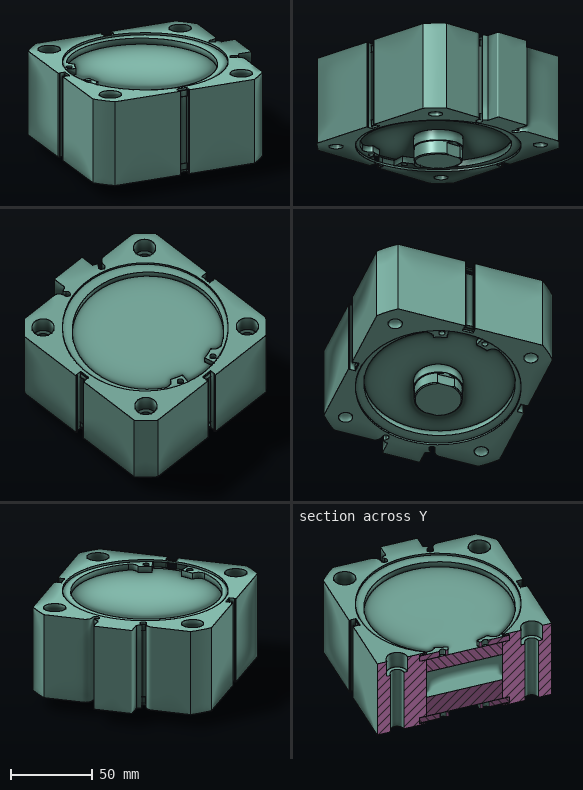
import cadquery as cq
import math


body_width = 115.0
body_height = 54.9
corner_radius = 74.4
bore_radius = 50.8
bolt_spacing = 88.7
bolt_hole_diameter = 8.7
counterbore_diameter = 13.6
counterbore_depth = 11.2

slot_depth = 4.6
slot_width = 6.7
slot_mouth_width = 6.2
slot_neck_width = 5.2
slot_lip = 0.9
slot_lip_chamfer = 0.5

total_length = 124.0
rail_width = 24.5
rail_edge_fillet = 0.5
rail_tip_half_width = 15.4
rail_tip_drop = 1.6
undercut_radius = 2.0
undercut_x = 15.1
undercut_drop = 5.0
undercut_exit_angle = 60.0

groove_radius = 53.2
groove_land = 1.4
groove_height = 4.2
ring_thickness = 4.0
ring_inner_radius = 46.5
ring_eccentricity = 2.4
ring_lug_radius = 43.3
ring_gap_half_angle = 12.8
ring_relief_radius = 5.0
ring_relief_angle = 32.0
ring_hole_radius = 1.9
ring_hole_reach = 47.0
ring_hole_angle = 17.4
top_ring_turn = -0.7

head_cover_thickness = 9.9
rod_cover_thickness = 14.9
rod_projection = 10.0
rod_radius = 15.1
rod_collar_length = 1.5
rod_collar_chamfer = 0.4
rod_neck_radius = 14.8
rod_end_chamfer = 0.6
flat_offset = 13.6
flat_start = 2.5

half_width = body_width / 2
groove_inner_end = groove_land + groove_height
head_cover_top = body_height - groove_inner_end
head_cover_bottom = head_cover_top - head_cover_thickness


def disc(radius, bottom, height):
    return cq.Workplane("XY").workplane(offset=bottom).circle(radius).extrude(height)


def toward_gap(distance, angle):
    """Point at a distance from the axis, turned by an angle in degrees from -Y toward +X."""
    turn = math.radians(angle)
    return distance * math.sin(turn), -distance * math.cos(turn)




def make_slot():
    """Undercut slot, running along Z, in the -Y face."""
    mouth = slot_mouth_width / 2
    neck = slot_neck_width / 2
    inside = slot_width / 2
    half_profile = [
        (mouth, -half_width),
        (neck, -half_width + slot_lip_chamfer),
        (neck, -half_width + slot_lip),
        (inside, -half_width + slot_lip),
        (inside, -half_width + slot_depth),
    ]
    other_half = [(-x, y) for x, y in reversed(half_profile)]
    return cq.Workplane("XY").polyline(half_profile + other_half).close().extrude(body_height)


def make_rail():
    """Bar that stands out of the +Y face, rooted in the housing by the depth of the undercuts."""
    outer_y = total_length - half_width
    root_y = half_width - undercut_drop
    outline = cq.Workplane("XY").center(0, (outer_y + root_y) / 2).rect(rail_width, outer_y - root_y)
    return outline.extrude(body_height).edges("|Z and >Y").fillet(rail_edge_fillet)


def make_rail_undercut(side):
    """Opening beside the rail foot, on the +X side for side = 1 and on the -X side for side = -1."""
    center_y = half_width - undercut_drop
    exit_turn = math.radians(undercut_exit_angle)
    exit_x = undercut_x - undercut_radius * math.cos(exit_turn)
    exit_y = center_y + undercut_radius * math.sin(exit_turn)
    outer_x = undercut_x + undercut_radius
    round_x = outer_x + undercut_drop
    round_middle = undercut_drop * math.sqrt(0.5)
    outline = (
        cq.Workplane("XY")
        .moveTo(side * rail_width / 2, half_width)
        .lineTo(side * rail_tip_half_width, half_width - rail_tip_drop)
        .lineTo(side * exit_x, exit_y)
        .threePointArc((side * undercut_x, center_y - undercut_radius), (side * outer_x, center_y))
        .threePointArc(
            (side * (round_x - round_middle), center_y + round_middle),
            (side * round_x, half_width),
        )
        .close()
    )
    return outline.extrude(body_height)


def make_housing():
    housing = cq.Workplane("XY").rect(body_width, body_width).extrude(body_height)
    housing = housing.intersect(disc(corner_radius, 0, body_height))
    housing = housing.union(make_rail())
    for side in (-1, 1):
        housing = housing.cut(make_rail_undercut(side))
    for angle in (-90, 0, 90):
        housing = housing.cut(make_slot().rotate((0, 0, 0), (0, 0, 1), angle))
    housing = housing.cut(disc(bore_radius, 0, body_height))
    for groove_bottom in (groove_land, head_cover_top):
        housing = housing.cut(disc(groove_radius, groove_bottom, groove_height))
    return (
        housing.faces(">Z")
        .workplane(origin=(0, 0, body_height))
        .rect(bolt_spacing, bolt_spacing, forConstruction=True)
        .vertices()
        .cboreHole(bolt_hole_diameter, counterbore_diameter, counterbore_depth)
    )




def make_gap_wedge(half_angle):
    """Triangle from the axis past the ring, centred on -Y."""
    reach = 2 * groove_radius
    corners = [(0, 0), toward_gap(reach, -half_angle), toward_gap(reach, half_angle)]
    return cq.Workplane("XY").polyline(corners).close().extrude(ring_thickness)


def make_retaining_ring(bottom, turn):
    """Eccentric snap ring with two drilled lugs beside its gap on the -Y side."""
    blank = disc(groove_radius, 0, ring_thickness)
    ring = blank.cut(disc(ring_inner_radius, 0, ring_thickness).translate((0, -ring_eccentricity, 0)))

    relief_x, relief_y = toward_gap(ring_inner_radius - ring_relief_radius, ring_relief_angle)
    relief_y -= ring_eccentricity
    lug_half_angle = math.degrees(math.atan2(relief_x, -relief_y))
    lugs = blank.cut(disc(ring_lug_radius, 0, ring_thickness)).intersect(make_gap_wedge(lug_half_angle))
    ring = ring.union(lugs)
    for side in (-1, 1):
        relief = disc(ring_relief_radius, 0, ring_thickness)
        ring = ring.cut(relief.translate((side * relief_x, relief_y, 0)))
        hole_x, hole_y = toward_gap(ring_hole_reach, side * ring_hole_angle)
        hole = disc(ring_hole_radius, 0, ring_thickness)
        ring = ring.cut(hole.translate((hole_x, hole_y, 0)))
    ring = ring.cut(make_gap_wedge(ring_gap_half_angle))
    return ring.rotate((0, 0, 0), (0, 0, 1), turn).translate((0, 0, bottom))




def make_head_cover():
    return disc(bore_radius, head_cover_bottom, head_cover_thickness)


def make_rod_cover():
    cover = disc(bore_radius, groove_inner_end, rod_cover_thickness)
    return cover.cut(disc(rod_radius, groove_inner_end, rod_cover_thickness))




def make_flat_cutter():
    """Material beyond the +Y wrench flat, with a 45 degree run-out toward the housing."""
    runout = rod_radius - flat_offset
    profile = [
        (flat_offset, -rod_projection),
        (flat_offset, -flat_start),
        (rod_radius, -flat_start + runout),
        (rod_radius, -rod_projection),
    ]
    return cq.Workplane("YZ").polyline(profile).close().extrude(rod_radius, both=True)


def make_rod():
    collar = disc(rod_radius, -rod_collar_length, rod_collar_length + head_cover_bottom)
    collar = collar.faces("<Z").chamfer(rod_collar_chamfer)
    neck = disc(rod_neck_radius, -rod_projection, rod_projection)
    neck = neck.faces("<Z").chamfer(rod_end_chamfer)
    rod = collar.union(neck)
    for angle in (0, 180):
        rod = rod.cut(make_flat_cutter().rotate((0, 0, 0), (0, 0, 1), angle))
    return rod


housing = make_housing()
head_cover = make_head_cover()
rod_cover = make_rod_cover()
rod = make_rod()

ring_places = [
    (head_cover_top, top_ring_turn),
    (groove_inner_end - ring_thickness, 0),
]
retaining_rings = [make_retaining_ring(bottom, turn).val() for bottom, turn in ring_places]

result = cq.Compound.makeCompound(
    [housing.val(), head_cover.val(), rod_cover.val(), rod.val(), *retaining_rings]
)